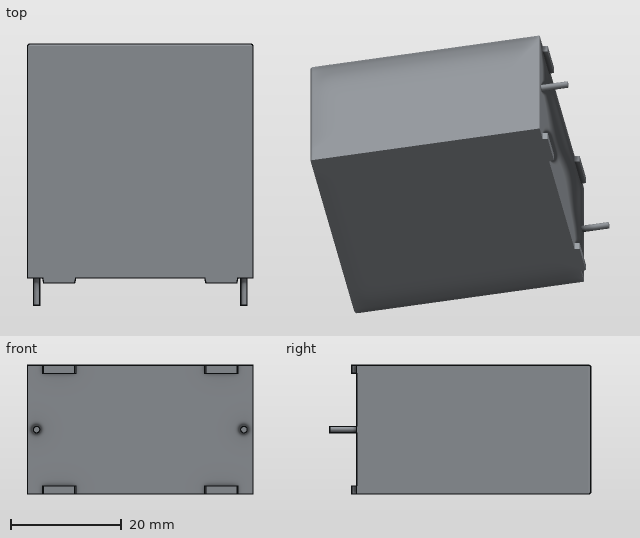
import cadquery as cq

width = 40.8
total_length = 47.3
height = 23.3

pin_diameter = 1.2
pin_length = 4.9
pin_spacing = 37.5

housing_length = total_length - pin_length
front_y = -total_length / 2 + pin_length
back_edge_radius = 0.45

foot_width = 6.0
foot_depth = 1.45
foot_length = 0.9
foot_side_gap = 2.75
foot_side_taper = 0.2


def make_foot(x_side, z_side):
    """One foot on the front face, its two sides leaning in towards the tip."""
    x_center = x_side * (width / 2 - foot_side_gap - foot_width / 2)
    z_center = z_side * (height - foot_depth) / 2
    tip_y = front_y - foot_length
    half_base = foot_width / 2
    half_tip = half_base - foot_side_taper
    return (
        cq.Workplane("XY")
        .polyline([(-half_base, front_y), (half_base, front_y), (half_tip, tip_y), (-half_tip, tip_y)])
        .close()
        .extrude(foot_depth / 2, both=True)
        .translate((x_center, 0, z_center))
    )


def make_housing():
    """Box with rounded back edges and four feet on its plain front face."""
    body = (
        cq.Workplane("XY")
        .box(width, housing_length, height)
        .translate((0, front_y + housing_length / 2, 0))
        .faces(">Y")
        .edges()
        .fillet(back_edge_radius)
    )
    for x_side in (-1, 1):
        for z_side in (-1, 1):
            body = body.union(make_foot(x_side, z_side))
    return body


def make_pin(x_center):
    """Round lead that butts against the front face."""
    return (
        cq.Workplane("XZ", origin=(x_center, front_y, 0))
        .circle(pin_diameter / 2)
        .extrude(pin_length)
    )


housing = make_housing()
pins = [make_pin(side * pin_spacing / 2) for side in (-1, 1)]

result = cq.Compound.makeCompound([housing.val(), *[pin.val() for pin in pins]])